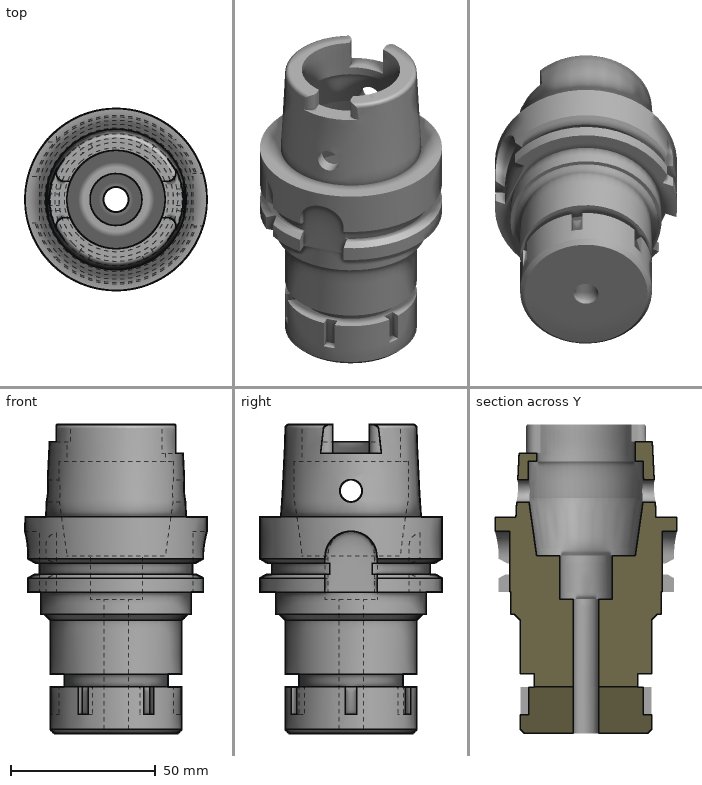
import cadquery as cq
import math


SHANK_HEIGHT = 32.0
SHANK_BASE_RADIUS = 24.315
TAPER_PER_SIDE = 1 / 20
SHANK_TOP_RADIUS = SHANK_BASE_RADIUS - SHANK_HEIGHT * TAPER_PER_SIDE
SHANK_TOP_FILLET = 1.5

DRIVE_SLOT_WIDTH = 12.5
DRIVE_SLOT_FLARE = 3.0
DRIVE_SLOT_FLARE_END = 20.7
DRIVE_SLOT_FLOOR_LEFT = 26.0
DRIVE_SLOT_FLOOR_RIGHT = 22.0

MOUTH_RADIUS = 17.0
MOUTH_DEPTH = 12.8
CAVITY_RADIUS = 19.8
CAVITY_FLOOR_RADIUS = MOUTH_RADIUS
CAVITY_CONE_TOP = 6.5
CAVITY_CONE_ANGLE = 8.0
CAVITY_CONE_HEIGHT = (CAVITY_RADIUS - CAVITY_FLOOR_RADIUS) / math.tan(math.radians(CAVITY_CONE_ANGLE))
CAVITY_FLOOR = CAVITY_CONE_TOP - CAVITY_CONE_HEIGHT
TUBE_BORE_RADIUS = 9.0
TUBE_BORE_DEPTH = 15.0
COOLANT_HOLE_RADIUS = 4.3
CROSS_HOLE_RADIUS = 3.8
CROSS_HOLE_HEIGHT = 9.0

FLANGE_RADIUS = 31.5
FLANGE_BOTTOM = -26.0
GROOVE_CENTRE = -18.0
GROOVE_HALF_WIDTH = 1.875
GROOVE_RADIUS = 27.5
GROOVE_UPPER_EDGE = -14.5
GROOVE_LOWER_EDGE = -21.2
GROOVE_SIDE_ANGLE = 60.0

KEYWAY_FLOOR = 26.5
KEYWAY_TOP = -5.0
KEYWAY_RADIUS_LEFT = 8.0
KEYWAY_RADIUS_RIGHT = 9.0
NOTCH_FLOOR = 20.6
NOTCH_TOP = -5.4
NOTCH_RADIUS = 4.5
NOTCH_CENTRE_Y = 24.5

COLLAR_RADIUS = 26.1
COLLAR_BOTTOM = -33.7
CONE_TOP_RADIUS = 24.8
CONE_BOTTOM = -35.7
BODY_RADIUS = 22.8
BODY_BOTTOM = -54.4
NECK_RADIUS = 18.0

NUT_TOP = -58.8
NUT_BOTTOM = -75.0
NUT_RADIUS = BODY_RADIUS
NUT_CHAMFER = 1.5
NUT_SLOT_COUNT = 6
NUT_SLOT_WIDTH = 3.9
NUT_SLOT_HEIGHT = 9.5
NUT_SLOT_FLOOR_RADIUS = 19.8


def disc(radius, bottom, top):
    """Cylinder on the tool axis."""
    return cq.Workplane("XY").workplane(offset=bottom).circle(radius).extrude(top - bottom)


def turned_holder():
    """Outside of the holder, turned about the tool axis."""
    groove_top = GROOVE_CENTRE + GROOVE_HALF_WIDTH
    groove_bottom = GROOVE_CENTRE - GROOVE_HALF_WIDTH
    slope = math.tan(math.radians(GROOVE_SIDE_ANGLE))
    upper_lip_radius = FLANGE_RADIUS - (GROOVE_UPPER_EDGE - groove_top) * slope
    lower_lip_radius = FLANGE_RADIUS - (groove_bottom - GROOVE_LOWER_EDGE) * slope
    outline = [
        (0, SHANK_HEIGHT),
        (SHANK_TOP_RADIUS, SHANK_HEIGHT),
        (SHANK_BASE_RADIUS, 0),
        (FLANGE_RADIUS, 0),
        (FLANGE_RADIUS, GROOVE_UPPER_EDGE),
        (upper_lip_radius, groove_top),
        (GROOVE_RADIUS, groove_top),
        (GROOVE_RADIUS, groove_bottom),
        (lower_lip_radius, groove_bottom),
        (FLANGE_RADIUS, GROOVE_LOWER_EDGE),
        (FLANGE_RADIUS, FLANGE_BOTTOM),
        (COLLAR_RADIUS, FLANGE_BOTTOM),
        (COLLAR_RADIUS, COLLAR_BOTTOM),
        (CONE_TOP_RADIUS, COLLAR_BOTTOM),
        (BODY_RADIUS, CONE_BOTTOM),
        (BODY_RADIUS, BODY_BOTTOM),
        (NECK_RADIUS, BODY_BOTTOM),
        (NECK_RADIUS, NUT_TOP),
        (0, NUT_TOP),
    ]
    turned = cq.Workplane("XZ").polyline(outline).close().revolve(360, (0, 0), (0, 1))
    return turned.faces(">Z").edges().fillet(SHANK_TOP_FILLET)


def inner_bores():
    """Mouth, wider cavity with a coned bottom, tube bore and coolant hole, all on the tool axis."""
    mouth = disc(MOUTH_RADIUS, CAVITY_FLOOR, SHANK_HEIGHT)
    cavity = disc(CAVITY_RADIUS, CAVITY_FLOOR, SHANK_HEIGHT - MOUTH_DEPTH)
    cone_inset = CAVITY_RADIUS - CAVITY_FLOOR_RADIUS
    cavity = cavity.faces("<Z").edges().chamfer(CAVITY_CONE_HEIGHT, cone_inset)
    tube_bore = disc(TUBE_BORE_RADIUS, CAVITY_FLOOR - TUBE_BORE_DEPTH, CAVITY_FLOOR)
    coolant_hole = disc(COOLANT_HOLE_RADIUS, NUT_TOP, CAVITY_FLOOR)
    return mouth.union(cavity).union(tube_bore).union(coolant_hole)


def cross_hole():
    """Round hole through both shank walls along X."""
    return (
        cq.Workplane("YZ")
        .center(0, CROSS_HOLE_HEIGHT)
        .circle(CROSS_HOLE_RADIUS)
        .extrude(SHANK_BASE_RADIUS, both=True)
    )


def drive_slot(side, floor):
    """Slot in the shank rim, flaring outwards; side is -1 for -X and +1 for +X."""
    half_width = DRIVE_SLOT_WIDTH / 2
    flare_start = DRIVE_SLOT_FLARE_END - DRIVE_SLOT_FLARE
    flare_half_width = half_width + DRIVE_SLOT_FLARE
    arc_reach = DRIVE_SLOT_FLARE * math.sqrt(0.5)
    arc_mid = (flare_start + arc_reach, flare_half_width - arc_reach)
    outside = SHANK_BASE_RADIUS
    return (
        cq.Workplane("XY")
        .workplane(offset=floor)
        .moveTo(0, half_width)
        .lineTo(side * flare_start, half_width)
        .threePointArc((side * arc_mid[0], arc_mid[1]), (side * DRIVE_SLOT_FLARE_END, flare_half_width))
        .lineTo(side * DRIVE_SLOT_FLARE_END, outside)
        .lineTo(side * outside, outside)
        .lineTo(side * outside, -outside)
        .lineTo(side * DRIVE_SLOT_FLARE_END, -outside)
        .lineTo(side * DRIVE_SLOT_FLARE_END, -flare_half_width)
        .threePointArc((side * arc_mid[0], -arc_mid[1]), (side * flare_start, -half_width))
        .lineTo(0, -half_width)
        .close()
        .extrude(SHANK_HEIGHT - floor)
    )


def flange_slot(side, floor, radius, top, centre_y):
    """Round-topped slot cut along X into the flange, down to a flat floor at |X| = floor."""
    arc_centre = top - radius
    return (
        cq.Workplane("YZ")
        .workplane(offset=side * floor)
        .moveTo(centre_y - radius, FLANGE_BOTTOM)
        .lineTo(centre_y - radius, arc_centre)
        .threePointArc((centre_y, top), (centre_y + radius, arc_centre))
        .lineTo(centre_y + radius, FLANGE_BOTTOM)
        .close()
        .extrude(side * (FLANGE_RADIUS - floor))
    )


def make_holder():
    return (
        turned_holder()
        .cut(inner_bores())
        .cut(cross_hole())
        .cut(drive_slot(-1, DRIVE_SLOT_FLOOR_LEFT))
        .cut(drive_slot(1, DRIVE_SLOT_FLOOR_RIGHT))
        .cut(flange_slot(-1, KEYWAY_FLOOR, KEYWAY_RADIUS_LEFT, KEYWAY_TOP, 0))
        .cut(flange_slot(1, KEYWAY_FLOOR, KEYWAY_RADIUS_RIGHT, KEYWAY_TOP, 0))
        .cut(flange_slot(-1, NOTCH_FLOOR, NOTCH_RADIUS, NOTCH_TOP, NOTCH_CENTRE_Y))
    )


def make_nut():
    """Ring nut seated on the end of the neck, with wrench slots open at the top."""
    nut = disc(NUT_RADIUS, NUT_BOTTOM, NUT_TOP).faces("<Z").edges().chamfer(NUT_CHAMFER)
    nut = nut.cut(disc(COOLANT_HOLE_RADIUS, NUT_BOTTOM, NUT_TOP))
    slot_depth = NUT_RADIUS - NUT_SLOT_FLOOR_RADIUS
    wrench_slot = (
        cq.Workplane("XY")
        .box(slot_depth, NUT_SLOT_WIDTH, NUT_SLOT_HEIGHT, centered=(False, True, False))
        .translate((NUT_SLOT_FLOOR_RADIUS, 0, NUT_TOP - NUT_SLOT_HEIGHT))
    )
    for index in range(NUT_SLOT_COUNT):
        angle = index * 360 / NUT_SLOT_COUNT
        nut = nut.cut(wrench_slot.rotate((0, 0, 0), (0, 0, 1), angle))
    return nut


holder = make_holder()
nut = make_nut()
result = cq.Compound.makeCompound([holder.val(), nut.val()])